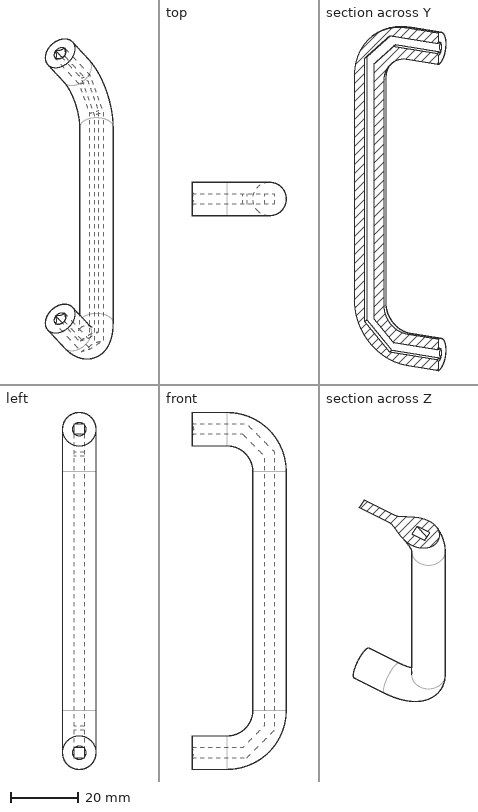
import cadquery as cq
import math

bar_diameter = 10.0
mount_spacing = 96.0
handle_depth = 28.0
bend_radius = 12.6
bore_width = 3.0
mouth_diameter = 4.0
ramp_angle = 45.0

grip_x = handle_depth - bar_diameter / 2
leg_length = grip_x - bend_radius
leg_z = mount_spacing / 2
bend_z = leg_z - bend_radius
ramp_reach = bend_radius * math.tan(math.radians(ramp_angle / 2))


def bar_axis():
    """U-shaped axis: leg, bend, upright grip, bend, leg."""
    return (
        cq.Workplane("XZ")
        .moveTo(0, -leg_z)
        .lineTo(leg_length, -leg_z)
        .radiusArc((grip_x, -bend_z), -bend_radius)
        .lineTo(grip_x, bend_z)
        .radiusArc((leg_length, leg_z), -bend_radius)
        .lineTo(0, leg_z)
    )


def bore_axis():
    """Axis of straight runs, with one sloping ramp touching the middle of each bend."""
    leg_corner_x = leg_length + ramp_reach
    grip_corner_z = bend_z + ramp_reach
    return cq.Workplane("XZ").polyline(
        [
            (0, -leg_z),
            (leg_corner_x, -leg_z),
            (grip_x, -grip_corner_z),
            (grip_x, grip_corner_z),
            (leg_corner_x, leg_z),
            (0, leg_z),
        ]
    )


def leg_end():
    """Sketch plane on the end face of the lower leg, where both sweeps start."""
    return cq.Workplane("YZ").center(0, -leg_z)


def bar():
    return leg_end().circle(bar_diameter / 2).sweep(bar_axis())


def bore():
    """Square passage from one leg end to the other, mitred where it turns."""
    return leg_end().rect(bore_width, bore_width).sweep(bore_axis(), transition="right")


def countersink(z):
    """Cone with 45 degree sides that opens the bore at a leg end."""
    mouth_radius = mouth_diameter / 2
    centre = cq.Vector(0, 0, z)
    cone = cq.Solid.makeCone(mouth_radius, 0, mouth_radius, pnt=centre, dir=cq.Vector(1, 0, 0))
    return cq.Workplane(cone)


result = bar().cut(bore())
for side in (-1, 1):
    result = result.cut(countersink(side * leg_z))